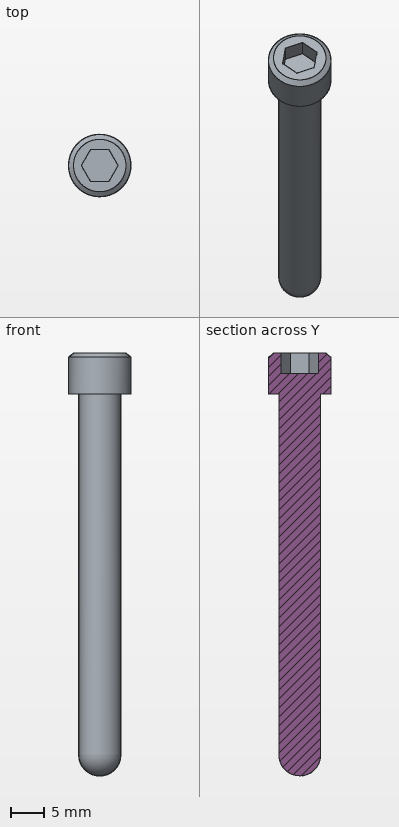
import cadquery as cq

total_length = 63.4

head_diameter = 9.4
head_height = 6.15
chamfer_width = 0.75
chamfer_height = 0.65

shank_diameter = 6.35
shank_radius = shank_diameter / 2

socket_corner_width = 5.5
socket_depth = 3.05

head_base = total_length - head_height


def make_shank():
    """Cylinder standing on a rounded tip at Z = 0."""
    base = cq.Workplane("XY").workplane(offset=shank_radius)
    shank = base.circle(shank_radius).extrude(head_base - shank_radius)
    tip = cq.Workplane("XY").sphere(shank_radius).translate((0, 0, shank_radius))
    return shank.union(tip)


def make_head():
    """Cylindrical head with a chamfered top rim."""
    base = cq.Workplane("XY").workplane(offset=head_base)
    head = base.circle(head_diameter / 2).extrude(head_height)
    return head.faces(">Z").chamfer(chamfer_height, chamfer_width)


def make_socket():
    """Hexagonal drive recess, open at the top of the head."""
    top = cq.Workplane("XY").workplane(offset=total_length)
    return top.polygon(6, socket_corner_width).extrude(-socket_depth)


result = make_shank().union(make_head()).cut(make_socket())